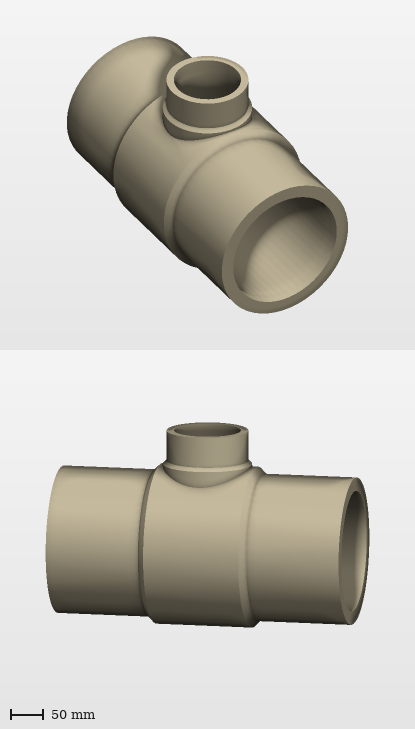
import cadquery as cq

pipe_length = 456.0
pipe_diameter = 225.0
bore_diameter = 184.0

sleeve_diameter = 245.5
sleeve_length = 168.5
sleeve_chamfer = (sleeve_diameter - pipe_diameter) / 2

branch_diameter = 125.0
branch_bore_diameter = 102.0
branch_top = 178.5

collar_diameter = 136.5
collar_top = 132.2
collar_chamfer = (collar_diameter - branch_diameter) / 2


def cylinder_along_x(diameter, length):
    """Cylinder centred on the origin."""
    start = cq.Workplane("YZ", origin=(-length / 2, 0, 0))
    return start.circle(diameter / 2).extrude(length)


def cylinder_up(diameter, top):
    """Cylinder from the pipe axis up to the given height."""
    return cq.Workplane("XY").circle(diameter / 2).extrude(top)


pipe = cylinder_along_x(pipe_diameter, pipe_length)
sleeve = cylinder_along_x(sleeve_diameter, sleeve_length).faces("<X or >X").edges().chamfer(sleeve_chamfer)
branch = cylinder_up(branch_diameter, branch_top)
collar = cylinder_up(collar_diameter, collar_top).faces(">Z").edges().chamfer(collar_chamfer)

body = pipe.union(sleeve).union(collar).union(branch)

main_bore = cylinder_along_x(bore_diameter, pipe_length)
branch_bore = cylinder_up(branch_bore_diameter, branch_top)
result = body.cut(main_bore).cut(branch_bore)